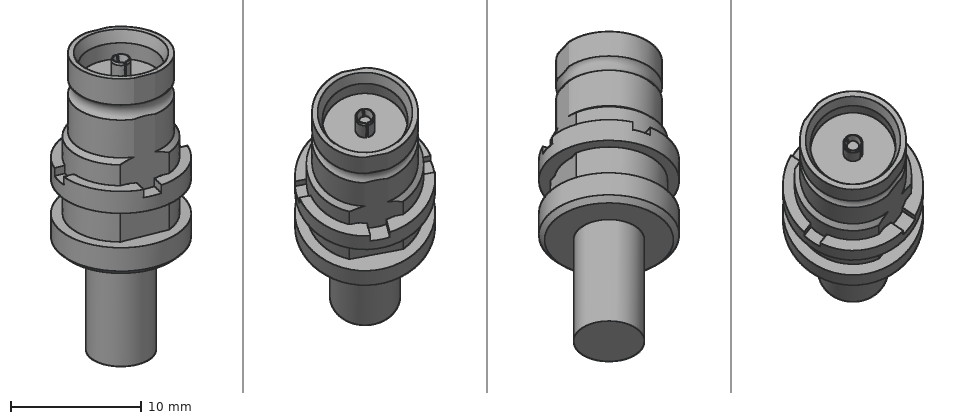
import cadquery as cq

total_height = 26.2
flange_bottom = 9.5
flange_top = 12.03
nut_bottom = 15.06
nut_top = 17.0
thread_cone_bottom = 18.85
thread_cone_top = 19.23
groove_bottom = 22.55
groove_top = 23.9

tube_radius = 2.72
flange_radius = 5.4
flange_chamfer = 0.45
thread_radius = 4.5
barrel_radius = 4.1
groove_radius = 3.72

flat_offset = 3.98

nut_bore_radius = 4.22
notch_width = 1.52
notch_depth = 0.7

mouth_radius = 3.65
socket_radius = 3.28
mouth_depth = 1.0
socket_depth = 2.4
socket_floor = total_height - socket_depth

contact_radius = 0.75
contact_height = 1.9
contact_tip_radius = 0.68
contact_tip_length = 0.2
contact_mouth_radius = 0.63
contact_hole_radius = 0.47
contact_mouth_depth = 0.52
contact_hole_depth = 0.79
contact_slot_width = 0.15


def cylinder(radius, bottom, top):
    return cq.Workplane("XY").workplane(offset=bottom).circle(radius).extrude(top - bottom)


def turned_plug(end_radius, radius, cone_bottom, bottom, top):
    """Solid cylinder whose upper end is a cone, widening or tapering to the end radius."""
    return (
        cq.Workplane("XZ")
        .moveTo(0, bottom)
        .lineTo(radius, bottom)
        .lineTo(radius, cone_bottom)
        .lineTo(end_radius, top)
        .lineTo(0, top)
        .close()
        .revolve(360, (0, 0), (0, 1))
    )


def make_body():
    """Threaded section and grooved barrel, with two flats across X."""
    turned = (
        cq.Workplane("XZ")
        .moveTo(0, flange_top)
        .lineTo(thread_radius, flange_top)
        .lineTo(thread_radius, thread_cone_bottom)
        .lineTo(barrel_radius, thread_cone_top)
        .lineTo(barrel_radius, groove_bottom)
        .threePointArc((groove_radius, (groove_bottom + groove_top) / 2), (barrel_radius, groove_top))
        .lineTo(barrel_radius, total_height)
        .lineTo(0, total_height)
        .close()
        .revolve(360, (0, 0), (0, 1))
    )
    between_flats = (
        cq.Workplane("XY")
        .workplane(offset=flange_top)
        .rect(2 * flat_offset, 2 * thread_radius)
        .extrude(total_height - flange_top)
    )
    return turned.intersect(between_flats)


def make_flange():
    return cylinder(flange_radius, flange_bottom, flange_top).faces("<Z").chamfer(flange_chamfer)


def make_nut():
    """Ring nut with four wrench notches in its upper face."""
    nut = cylinder(flange_radius, nut_bottom, nut_top).cut(cylinder(nut_bore_radius, nut_bottom, nut_top))
    for length_x, length_y in ((2 * flange_radius, notch_width), (notch_width, 2 * flange_radius)):
        notch = (
            cq.Workplane("XY")
            .workplane(offset=nut_top - notch_depth)
            .rect(length_x, length_y)
            .extrude(notch_depth)
        )
        nut = nut.cut(notch)
    return nut


def make_contact():
    """Hollow pin standing on the socket floor, split by a slot along X."""
    top = socket_floor + contact_height
    pin = turned_plug(contact_tip_radius, contact_radius, top - contact_tip_length, socket_floor, top)
    hole_bottom = top - contact_hole_depth
    pin = pin.cut(
        turned_plug(contact_mouth_radius, contact_hole_radius, top - contact_mouth_depth, hole_bottom, top)
    )
    core = cylinder(contact_hole_radius, socket_floor, hole_bottom)
    slot = (
        cq.Workplane("XY")
        .workplane(offset=socket_floor)
        .rect(2 * contact_radius, contact_slot_width)
        .extrude(contact_height)
    )
    return pin.cut(slot).union(core)


socket = turned_plug(mouth_radius, socket_radius, total_height - mouth_depth, socket_floor, total_height)

result = (
    cylinder(tube_radius, 0, flange_bottom)
    .union(make_flange())
    .union(make_body())
    .union(make_nut())
    .cut(socket)
    .union(make_contact())
)